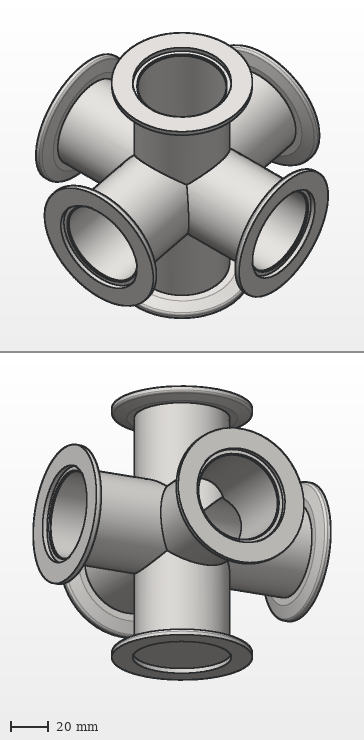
import cadquery as cq
import math

span = 140.0
tube_diameter = 51.0
bore_diameter = 47.0
flange_diameter = 75.0
flange_thickness = 5.3
hub_diameter = 59.0
cone_angle = 15.0
rim_round_radius = 1.4
recess_diameter = 52.5
recess_depth = 2.7
lip_diameter = 48.0
lip_thickness = 1.0

face_distance = span / 2
tube_end_distance = face_distance - recess_depth - lip_thickness
socket_depth = flange_thickness - recess_depth - lip_thickness
cone_width = (flange_diameter - hub_diameter) / 2
cone_height = cone_width * math.tan(math.radians(cone_angle))

open_directions = [(1, 0, 0), (-1, 0, 0), (0, 1, 0), (0, -1, 0), (0, 0, 1)]
closed_direction = (0, 0, -1)


def make_rod(direction, diameter):
    """Cylinder from the centre of the cross to the end of one tube."""
    start = cq.Plane((0, 0, 0), normal=direction)
    return cq.Workplane(start).circle(diameter / 2).extrude(tube_end_distance)


def make_cross():
    """Six tubes joined at the centre, their bores meeting inside."""
    directions = open_directions + [closed_direction]
    cross = make_rod(directions[0], tube_diameter)
    for direction in directions[1:]:
        cross = cross.union(make_rod(direction, tube_diameter))
    for direction in directions:
        cross = cross.cut(make_rod(direction, bore_diameter))
    return cross


def make_closed_flange():
    """Flange without an opening: sealing face at Z = 0, cone and tube socket below it."""
    disc = (
        cq.Workplane("XZ")
        .lineTo(flange_diameter / 2, 0)
        .lineTo(flange_diameter / 2, cone_height - flange_thickness)
        .lineTo(hub_diameter / 2, -flange_thickness)
        .lineTo(0, -flange_thickness)
        .close()
        .revolve(360, (0, 0, 0), (0, 1, 0))
    )
    disc = disc.edges("%CIRCLE").edges(">>Z[-2]").fillet(rim_round_radius)
    recess = cq.Workplane("XY").circle(recess_diameter / 2).extrude(-recess_depth)
    socket = (
        cq.Workplane("XY")
        .workplane(offset=-flange_thickness)
        .circle(tube_diameter / 2)
        .extrude(socket_depth)
    )
    return disc.cut(recess).cut(socket)


def make_open_flange():
    """Flange whose lip is open to the bore of the tube."""
    opening = cq.Workplane("XY").circle(lip_diameter / 2).extrude(-flange_thickness)
    return make_closed_flange().cut(opening)


def place_flange(flange, direction):
    """Put a flange on the tube that points along direction, sealing face outward."""
    face_centre = tuple(face_distance * component for component in direction)
    return flange.val().located(cq.Location(cq.Plane(face_centre, normal=direction)))


cross = make_cross()
open_flanges = [place_flange(make_open_flange(), direction) for direction in open_directions]
closed_flange = place_flange(make_closed_flange(), closed_direction)

result = cq.Compound.makeCompound([cross.val(), *open_flanges, closed_flange])